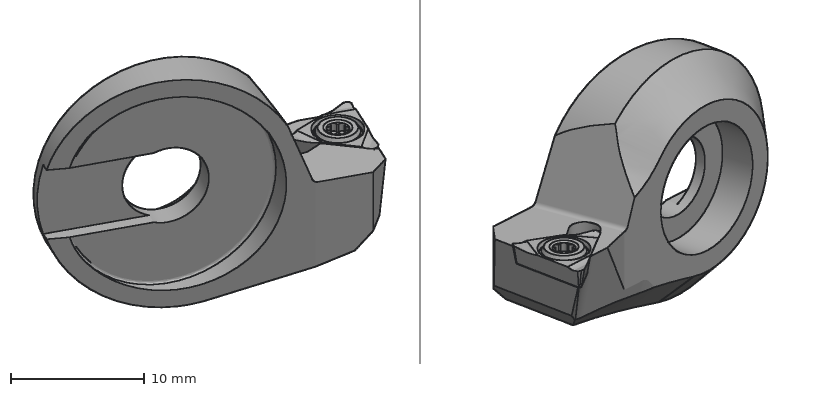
import cadquery as cq
import math

RELIEF = 9.3
TAN_RELIEF = math.tan(math.radians(RELIEF))

DISC_R = 10.0
CHAMFER = 3.0
FACE_R = DISC_R - CHAMFER
DISC_LENGTH = 9.0
HOLE_R = 3.25
FRONT_BORE_R = 5.25
FRONT_BORE_DEPTH = 3.0
BACK_BORE_R = 8.5
BACK_BORE_FLOOR = 5.0
BACK_BORE_FILLET = 0.2
BACK_TILT = 9.2
BACK_X = 6.27
KEYWAY_WIDTH = 6.1
KEYWAY_FLOOR = 3.93

WEB_ANGLE = 40.0
WEB_CONE_R = 8.0
WEB_FOOT = 2.5
SLANT_Y = 9.15
SLANT_TURN = 10.0
SLANT_LEAN = 20.0
SLANT_FILLET = 0.44

ARM_TOP = -0.1
ARM_BACK = 8.0
ARM_TIP_Y = 16.75
ARM_SIDE_X = -0.8
ARM_CORNER_CHAMFER = 1.5
ARM_DEPTH = 11.0
ARM_FOOT_Y = 9.44
ARM_KINK_Y = 12.28
ARM_FOOT_FILLET = 0.7
TOE_FILLET = 3.0
TOE_LENGTH = 10.0
TOE_NOSE_X = -1.56
TOE_NOSE_LEAN = 20.0
TOE_CLEAR_X = -1.2
RUNOUT_Y = 7.33
RUNOUT_R = 4.0
BELLY_TANGENT = 14.6
BELLY_BLEND = 12.0
BELLY_CONE_R = 65.0
BELLY_END_Y = 13.8
NOSE_Z = -4.42

TIP_COUNT = 3
TIP_TURN = 360.0 / TIP_COUNT
HALF_TIP_ANGLE = math.radians(30)
INSERT_X = 1.43
INSERT_Y = 14.68
INSERT_EDGE_Y = 16.85
INSERT_IN_R = INSERT_EDGE_Y - INSERT_Y
INSERT_TIP_X = -2.0
INSERT_THICKNESS = 1.57
TIP_BEVEL = 0.2
TOE_INSET = 0.2
TOE_IN_R = INSERT_IN_R - TOE_INSET
GROOVE_START = -1.37
GROOVE_END = -0.8
GROOVE_LENGTH = 5.0
GROOVE_DEPTH = 0.13
GROOVE_SAG = 0.03
POCKET_R = 1.2
POCKET_X = 2.54
POCKET_Y = 11.05
POCKET_APEX_X = 2.82
POCKET_APEX_Y = 12.85
POCKET_TAPER = 3.0

SCREW_X = 1.455
SCREW_Y = 14.66
HEAD_TOP = 0.13
HEAD_TOP_R = 1.52
HEAD_R = 1.72
HEAD_EDGE_Z = -0.2
SHANK_R = 1.1
SCREW_END = -4.5
SINK_R = 2.0
SEAT_R = 1.87
SEAT_Z = -0.35
HEAD_SEAT_Z = SEAT_Z - (SEAT_R - HEAD_R)
SHANK_TOP = SEAT_Z - (SEAT_R - SHANK_R)
TORX_R = 0.63
TORX_LOBE_R = 0.25
TORX_TURN = 12.0
TORX_LOBES = 6
TORX_DEPTH = 0.8
TORX_SINK_R = 1.1
TORX_SINK_DEPTH = 0.1

FAR = 25.0


def x_cone(y, z, radius, start, end):
    """45 degree cone along X, of the given radius at X = 0, narrowing toward +X."""
    profile = [(start, 0), (start, radius - start), (end, radius - end), (end, 0)]
    cone = cq.Workplane("XY").polyline(profile).close().revolve(360, (0, 0, 0), (1, 0, 0))
    return cone.translate((0, y, z))


def x_cylinder(radius, start, end, y=0.0, z=0.0):
    return cq.Workplane("YZ", origin=(start, y, z)).circle(radius).extrude(end - start)


def make_disc():
    profile = [(0, 0), (0, FACE_R), (CHAMFER, DISC_R), (DISC_LENGTH, DISC_R), (DISC_LENGTH, 0)]
    return cq.Workplane("XY").polyline(profile).close().revolve(360, (0, 0, 0), (1, 0, 0))


def make_web():
    """Fill between the disc and the slanted wall, with a concave conical front."""
    cosine = math.cos(math.radians(WEB_ANGLE))
    sine = math.sin(math.radians(WEB_ANGLE))
    reach = FACE_R + WEB_CONE_R
    outline = [(0, ARM_TOP), (0, 0), (reach * cosine, reach * sine), (reach * cosine, ARM_TOP)]
    web = cq.Workplane("YZ").polyline(outline).close().extrude(CHAMFER)
    web = web.cut(x_cone(reach * cosine, reach * sine, WEB_CONE_R, -1, CHAMFER + 1))
    foot = cq.Workplane("XY").box(ARM_BACK - CHAMFER, ARM_TIP_Y, WEB_FOOT - ARM_TOP, centered=False)
    return web.union(foot.translate((CHAMFER, 0, ARM_TOP)))


def arm_flanks():
    """Arm outline seen from above, drawn in by the relief angle on the way down."""
    flank_cos = math.cos(HALF_TIP_ANGLE)
    tip_x = INSERT_X - (TOE_IN_R + (ARM_TIP_Y - INSERT_Y) / 2) / flank_cos
    corner_y = INSERT_Y - 2 * (TOE_IN_R - (INSERT_X - ARM_SIDE_X) * flank_cos)
    top = cq.Workplane("XY", origin=(0, 0, ARM_TOP))
    side = (
        top.moveTo(FAR, ARM_TIP_Y)
        .lineTo(ARM_SIDE_X, ARM_TIP_Y)
        .lineTo(ARM_SIDE_X, RUNOUT_Y)
        .tangentArcPoint((ARM_SIDE_X - RUNOUT_R, RUNOUT_Y - RUNOUT_R), relative=False)
        .lineTo(ARM_SIDE_X - RUNOUT_R, -FAR)
        .lineTo(FAR, -FAR)
        .close()
        .extrude(-ARM_DEPTH, taper=RELIEF)
    )
    toe_end_x = tip_x + TOE_LENGTH / 2
    toe_end_y = ARM_TIP_Y - TOE_LENGTH * flank_cos
    toe_outline = [(FAR, ARM_TIP_Y), (tip_x, ARM_TIP_Y), (toe_end_x, toe_end_y), (FAR, toe_end_y)]
    toe = top.polyline(toe_outline).close().extrude(-ARM_DEPTH, taper=RELIEF)
    flanks = side.union(toe)

    middle = -ARM_DEPTH / 2
    shift = -middle * TAN_RELIEF
    toe_corner = (ARM_SIDE_X + shift, corner_y + shift * math.tan(HALF_TIP_ANGLE / 2), ARM_TOP + middle)
    return flanks.edges(cq.selectors.NearestToPointSelector(toe_corner)).fillet(TOE_FILLET)


def toe_nose_cutter():
    """Clears the space beside the insert tip and leans the toe tip back below it."""
    end_z = NOSE_Z - 1
    drop = -INSERT_THICKNESS - end_z
    profile = [
        (-FAR, 0),
        (TOE_CLEAR_X, 0),
        (TOE_CLEAR_X, -INSERT_THICKNESS),
        (TOE_NOSE_X, -INSERT_THICKNESS),
        (TOE_NOSE_X + drop * math.tan(math.radians(TOE_NOSE_LEAN)), end_z),
        (-FAR, end_z),
    ]
    return cq.Workplane("XZ", origin=(0, FAR, 0)).polyline(profile).close().extrude(FAR)


def arm_plan():
    """Upright outline of the arm: disc face, slanted side and bevelled far corner."""
    over_y = ARM_TIP_Y + 1
    side_slope = ARM_SIDE_X / (ARM_KINK_Y - ARM_FOOT_Y)
    corner_y = ARM_TIP_Y - ARM_CORNER_CHAMFER
    outline = [
        (0, 0),
        (0, ARM_FOOT_Y),
        (side_slope * (over_y - ARM_FOOT_Y), over_y),
        (ARM_BACK - (over_y - corner_y), over_y),
        (ARM_BACK, corner_y),
        (ARM_BACK, 0),
    ]
    plan = cq.Workplane("XY", origin=(0, 0, ARM_TOP)).polyline(outline).close().extrude(-ARM_DEPTH)
    foot = cq.selectors.NearestToPointSelector((0, ARM_FOOT_Y, ARM_TOP - ARM_DEPTH / 2))
    return plan.edges(foot).fillet(ARM_FOOT_FILLET)


def arm_side():
    """Outline of the arm seen along X: underside tangent to the disc, 45 degree nose."""
    angle = math.radians(BELLY_TANGENT)
    blend = math.radians(BELLY_BLEND)
    end_z = (BELLY_END_Y * math.sin(angle) - DISC_R) / math.cos(angle)
    nose_y = BELLY_END_Y + NOSE_Z - end_z
    outline = [
        (0, ARM_TOP),
        (DISC_R * math.sin(blend), -DISC_R * math.cos(blend)),
        (DISC_R * math.sin(angle), -DISC_R * math.cos(angle)),
        (BELLY_END_Y, end_z),
        (nose_y, NOSE_Z),
        (nose_y + ARM_TOP - NOSE_Z, ARM_TOP),
    ]
    side = cq.Workplane("YZ", origin=(INSERT_TIP_X, 0, 0)).polyline(outline).close()
    return side.extrude(ARM_BACK - INSERT_TIP_X)


def make_arm():
    blend = math.radians(BELLY_BLEND)
    reach = FACE_R + BELLY_CONE_R
    belly_y = reach * math.sin(blend)
    belly_z = -reach * math.cos(blend)
    belly = x_cone(belly_y, belly_z, BELLY_CONE_R, INSERT_TIP_X - 1, ARM_BACK + 1)
    arm = arm_side().intersect(arm_plan()).intersect(arm_flanks())
    return arm.cut(belly).cut(toe_nose_cutter())


def slant_cutter():
    """Space above the arm, ending at the leaning wall with a rounded foot."""
    wall_top = -DISC_R * math.tan(math.radians(SLANT_LEAN))
    section = [(0, ARM_TOP), (FAR, ARM_TOP), (FAR, DISC_R), (wall_top, DISC_R)]
    cutter = cq.Workplane("YZ", origin=(-FAR / 2, 0, 0)).polyline(section).close().extrude(FAR)
    cutter = cutter.edges(cq.selectors.NearestToPointSelector((0, 0, ARM_TOP))).fillet(SLANT_FILLET)
    return cutter.rotate((0, 0, 0), (0, 0, 1), SLANT_TURN).translate((0, SLANT_Y, 0))


def back_cutter():
    block = cq.Workplane("XY").box(FAR, 3 * FAR, 2 * FAR).translate((FAR / 2, 0, 0))
    return block.rotate((0, 0, 0), (0, 0, 1), -BACK_TILT).translate((BACK_X, 0, 0))


def back_bore():
    bore = x_cylinder(BACK_BORE_R, BACK_BORE_FLOOR, DISC_LENGTH)
    return bore.faces("<X").edges().fillet(BACK_BORE_FILLET)


def keyway():
    size = DISC_LENGTH - KEYWAY_FLOOR
    slot = cq.Workplane("XY").box(size, FAR, KEYWAY_WIDTH, centered=(False, False, True))
    return slot.translate((KEYWAY_FLOOR, -FAR, 0))


def at_each_tip(shape):
    """The shape turned to each corner of the insert."""
    axis_base = (INSERT_X, INSERT_Y, 0)
    axis_top = (INSERT_X, INSERT_Y, 1)
    return [shape.rotate(axis_base, axis_top, TIP_TURN * turn) for turn in range(TIP_COUNT)]


def insert_blank():
    """Triangular plate with bevelled tips and relieved flanks."""
    half_side = INSERT_IN_R * math.sqrt(3)
    tip = INSERT_TIP_X - INSERT_X
    flat = (half_side + tip) * math.sqrt(3)
    corner = [
        (tip + TIP_BEVEL, INSERT_IN_R),
        (tip, INSERT_IN_R - TIP_BEVEL),
        (tip, INSERT_IN_R - flat),
    ]
    outline = []
    for turn in range(TIP_COUNT):
        angle = math.radians(TIP_TURN * turn)
        for x, y in corner:
            turned_x = x * math.cos(angle) - y * math.sin(angle)
            turned_y = x * math.sin(angle) + y * math.cos(angle)
            outline.append((turned_x, turned_y))
    plate = cq.Workplane("XY", origin=(INSERT_X, INSERT_Y, 0)).polyline(outline).close()
    return plate.extrude(-INSERT_THICKNESS, taper=RELIEF)


def chip_groove():
    """Sloping land and concave rise across one insert tip."""
    slope = GROOVE_DEPTH / (GROOVE_START - INSERT_TIP_X)
    middle = ((GROOVE_START + GROOVE_END) / 2, -GROOVE_DEPTH / 2 - GROOVE_SAG)
    return (
        cq.Workplane("XZ", origin=(0, INSERT_EDGE_Y + 1, 0))
        .moveTo(INSERT_TIP_X - 1, slope)
        .lineTo(GROOVE_START, -GROOVE_DEPTH)
        .threePointArc(middle, (GROOVE_END, 0))
        .lineTo(GROOVE_END, 1)
        .lineTo(INSERT_TIP_X - 1, 1)
        .close()
        .extrude(GROOVE_LENGTH)
    )


def turned(profile):
    """Revolve an (r, z) profile about the screw axis."""
    blank = cq.Workplane("XZ").polyline(profile).close().revolve(360, (0, 0, 0), (0, 1, 0))
    return blank.translate((SCREW_X, SCREW_Y, 0))


def screw_blank():
    return turned([
        (0, HEAD_TOP),
        (HEAD_TOP_R, HEAD_TOP),
        (HEAD_R, HEAD_EDGE_Z),
        (HEAD_R, HEAD_SEAT_Z),
        (SHANK_R, SHANK_TOP),
        (SHANK_R, SCREW_END),
        (0, SCREW_END),
    ])


def insert_hole():
    return turned([
        (0, 1),
        (SINK_R, 1),
        (SINK_R, 0),
        (SEAT_R, SEAT_Z),
        (SHANK_R, SHANK_TOP),
        (SHANK_R, -INSERT_THICKNESS - 1),
        (0, -INSERT_THICKNESS - 1),
    ])


def torx_socket():
    center = (SCREW_X, SCREW_Y, HEAD_TOP)
    socket = cq.Workplane("XY", origin=center).circle(TORX_R).extrude(-TORX_DEPTH)
    lobes = (
        cq.Workplane("XY", origin=center)
        .polarArray(TORX_R, TORX_TURN, 360, TORX_LOBES)
        .circle(TORX_LOBE_R)
        .extrude(-TORX_DEPTH)
    )
    sink = turned([
        (0, HEAD_TOP),
        (TORX_SINK_R, HEAD_TOP),
        (TORX_R + TORX_LOBE_R, HEAD_TOP - TORX_SINK_DEPTH),
        (0, HEAD_TOP - TORX_SINK_DEPTH),
    ])
    return socket.union(lobes).union(sink)


def tip_pocket():
    """Teardrop clearance around the buried insert tip, running up the seat wall."""
    gap_x = POCKET_APEX_X - POCKET_X
    gap_y = POCKET_APEX_Y - POCKET_Y
    swing = math.acos(POCKET_R / math.hypot(gap_x, gap_y))
    toward = math.atan2(gap_y, gap_x)
    tangents = []
    for side in (-1, 1):
        angle = toward + side * swing
        tangents.append((POCKET_X + POCKET_R * math.cos(angle), POCKET_Y + POCKET_R * math.sin(angle)))
    bottom = (POCKET_X - POCKET_R * math.cos(toward), POCKET_Y - POCKET_R * math.sin(toward))
    return (
        cq.Workplane("XY", origin=(0, 0, ARM_TOP))
        .moveTo(POCKET_APEX_X, POCKET_APEX_Y)
        .lineTo(*tangents[0])
        .threePointArc(bottom, tangents[1])
        .close()
        .extrude(-(INSERT_THICKNESS + ARM_TOP), taper=POCKET_TAPER)
    )


def make_holder():
    body = make_disc().union(make_web()).union(make_arm())
    body = body.cut(slant_cutter()).cut(back_cutter())
    body = body.cut(x_cylinder(HOLE_R, -1, DISC_LENGTH))
    body = body.cut(x_cylinder(FRONT_BORE_R, -1, FRONT_BORE_DEPTH))
    body = body.cut(back_bore()).cut(keyway())
    return body.cut(tip_pocket()).cut(insert_blank()).cut(screw_blank())


def make_insert():
    plate = insert_blank().cut(insert_hole())
    for groove in at_each_tip(chip_groove()):
        plate = plate.cut(groove)
    return plate


def make_screw():
    return screw_blank().cut(torx_socket())


holder = make_holder()
insert = make_insert()
screw = make_screw()

result = cq.Compound.makeCompound([holder.val(), insert.val(), screw.val()])